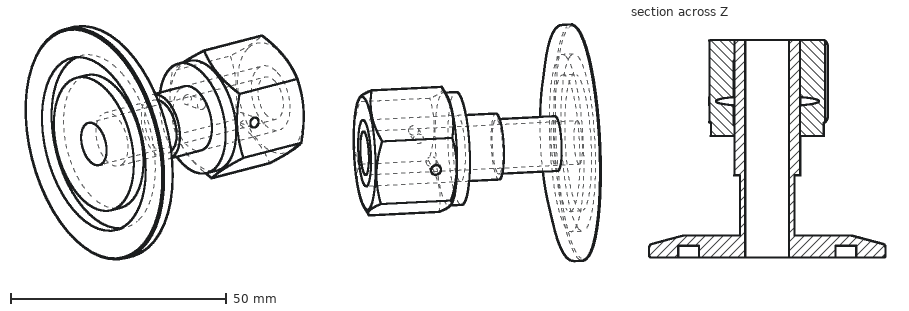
import cadquery as cq
import math


flange_radius = 27.5
flange_thickness = 5.15
flange_back_radius = 19.5
face_chamfer = 0.35
rim_height = 2.3
cone_angle = math.radians(15)
groove_inner_radius = 15.9
groove_outer_radius = 20.6
groove_depth = 2.75

bore_radius = 5.05
tube_radius = 6.4
shoulder_radius = 7.7
shoulder_start = 19.1
overall_length = 50.55

collar_radius = 13.15
collar_start = 28.2
hex_start = 31.25
hex_across_flats = 26.85
hex_turn = 5.7
corner_chamfer_angle = math.radians(30)
vent_radius = 1.18
vent_position = 36.3

hex_corner_radius = hex_across_flats / math.sqrt(3)
corner_chamfer_length = (hex_corner_radius - collar_radius) * math.tan(corner_chamfer_angle)

cone_slope = math.tan(cone_angle)
rim_round = (
    (flange_thickness - rim_height - (flange_radius - flange_back_radius) * cone_slope)
    / (math.cos(cone_angle) - (1 - math.sin(cone_angle)) * cone_slope)
)


def cylinder(radius, start, end):
    """Cylinder on the Y axis between two distances from the flange face."""
    return cq.Workplane("XZ", origin=(0, start, 0)).circle(radius).extrude(start - end)


def round_point(angle):
    """Point (radius, y) on the rim rounding, measured from the radial direction."""
    return (
        flange_radius - rim_round * (1 - math.cos(angle)),
        rim_height + rim_round * math.sin(angle),
    )


def make_flange():
    """Disc with a conical back, a rounded rim and a ring groove in its face."""
    cone_tangent_angle = math.pi / 2 - cone_angle
    disc = (
        cq.Workplane("XY")
        .moveTo(0, 0)
        .lineTo(flange_radius - face_chamfer, 0)
        .lineTo(flange_radius, face_chamfer)
        .lineTo(flange_radius, rim_height)
        .threePointArc(round_point(cone_tangent_angle / 2), round_point(cone_tangent_angle))
        .lineTo(flange_back_radius, flange_thickness)
        .lineTo(0, flange_thickness)
        .close()
        .revolve(360, (0, 0, 0), (0, 1, 0))
    )
    groove = cylinder(groove_outer_radius, 0, groove_depth).cut(
        cylinder(groove_inner_radius, 0, groove_depth)
    )
    return disc.cut(groove)


def make_hex_head():
    """Hexagonal prism with its corners chamfered conically at both ends."""
    prism = (
        cq.Workplane("XZ", origin=(0, hex_start, 0))
        .polygon(6, 2 * hex_corner_radius)
        .extrude(hex_start - overall_length)
        .rotate((0, 0, 0), (0, 1, 0), 30 - hex_turn)
    )
    chamfer_envelope = (
        cq.Workplane("XY")
        .moveTo(0, hex_start)
        .lineTo(collar_radius, hex_start)
        .lineTo(hex_corner_radius, hex_start + corner_chamfer_length)
        .lineTo(hex_corner_radius, overall_length - corner_chamfer_length)
        .lineTo(collar_radius, overall_length)
        .lineTo(0, overall_length)
        .close()
        .revolve(360, (0, 0, 0), (0, 1, 0))
    )
    return prism.intersect(chamfer_envelope)


def make_vents():
    """Drill through two opposite flats of the head, at right angles to them."""
    return (
        cq.Workplane("YZ")
        .center(vent_position, 0)
        .circle(vent_radius)
        .extrude(hex_corner_radius, both=True)
        .rotate((0, 0, 0), (0, 1, 0), -hex_turn)
    )


def make_flanged_tube():
    """Flange with a stepped tube behind it and a bore through the full length."""
    return (
        make_flange()
        .union(cylinder(tube_radius, flange_thickness, shoulder_start))
        .union(cylinder(shoulder_radius, shoulder_start, overall_length))
        .cut(cylinder(bore_radius, 0, overall_length))
    )


def make_nut():
    """Nut bored to fit the shoulder; its vents open onto the shoulder surface."""
    return (
        make_hex_head()
        .union(cylinder(collar_radius, collar_start, hex_start))
        .cut(cylinder(shoulder_radius, collar_start, overall_length))
        .cut(make_vents())
    )


flanged_tube = make_flanged_tube().solids()
nut = make_nut().solids()
result = cq.Compound.makeCompound([flanged_tube.val(), nut.val()])